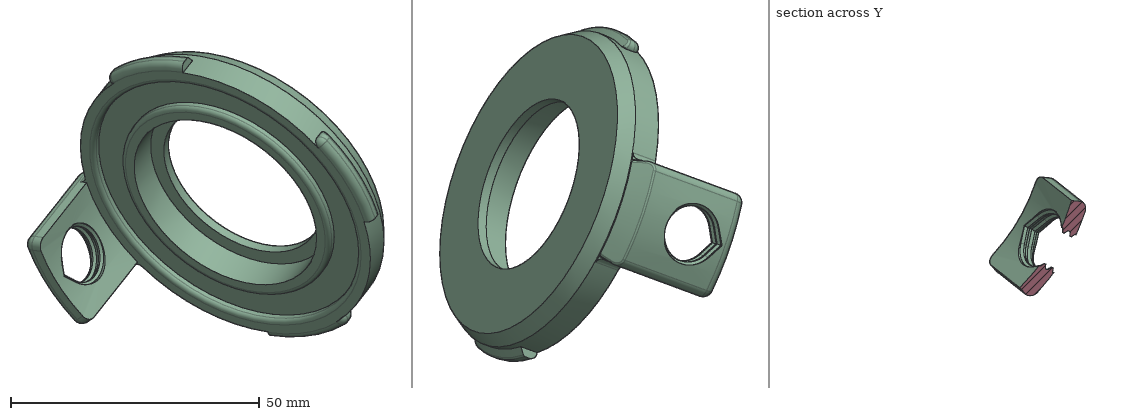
import cadquery as cq
import math


rim_radius = 33.45
ring_depth = 8.8
bevel_width = 1.8
bevel_length = 3.2
bevel_start = ring_depth - bevel_length
bore_radius = 18.0
seat_radius = 21.0
lip_thickness = 2.0

groove_inner_radius = 24.0
groove_outer_radius = 30.35
groove_depth = 2.0
groove_edge_round = 0.95

sector_start = 17.0
sector_span = 35.8
sector_pitch = 90.0
lug_sectors = (0, 1, 3)
tab_sector = 2
shoulder_round = 0.55

lug_radius = 35.2
lug_width = 4.0
lug_ramp_length = 1.1
lug_round = 1.6

tab_radius = 37.5
tab_length = 20.0
tab_ramp_start = 5.45
tab_ramp_length = 3.25
tab_round = 2.0
tab_root_round = 1.5

hole_center_y = -tab_length / 2
hole_root_radius = 6.3
rib_height = 0.55
hole_tip_ratio = 1.17
rib_pitch = 2.0
rib_crest_width = 0.5
rib_flank_width = 0.5
outer_rib_inset = 1.25
rib_count = 2
cutter_overshoot = 2.1


def on_circle(radius, angle, y):
    """Point at a given radius and angle about the ring axis."""
    turn = math.radians(angle)
    return cq.Vector(radius * math.cos(turn), y, radius * math.sin(turn))


def edges_near(points):
    """Selector for the edges whose midpoints lie closest to the given points."""
    selector = cq.selectors.NearestToPointSelector(points[0].toTuple())
    for point in points[1:]:
        selector = selector + cq.selectors.NearestToPointSelector(point.toTuple())
    return selector


def revolve_about_axis(outline, span):
    """Revolve an (r, y) outline from +X toward +Z."""
    return outline.revolve(span, (0, 0), (0, -1))


def turn_about_axis(body, angle):
    return body.rotate((0, 0, 0), (0, -1, 0), angle)


def turn_to_sector(body, sector):
    return turn_about_axis(body, sector_start + sector * sector_pitch)


def make_ring():
    seat_floor = ring_depth - lip_thickness
    outline = (
        cq.Workplane("XY")
        .moveTo(seat_radius, 0)
        .lineTo(groove_inner_radius - groove_edge_round, 0)
        .radiusArc((groove_inner_radius, groove_edge_round), -groove_edge_round)
        .lineTo(groove_inner_radius, groove_depth)
        .lineTo(groove_outer_radius, groove_depth)
        .lineTo(groove_outer_radius, groove_edge_round)
        .radiusArc((groove_outer_radius + groove_edge_round, 0), -groove_edge_round)
        .lineTo(rim_radius, 0)
        .lineTo(rim_radius, bevel_start)
        .lineTo(rim_radius - bevel_width, ring_depth)
        .lineTo(bore_radius, ring_depth)
        .lineTo(bore_radius, seat_floor)
        .lineTo(seat_radius, seat_floor)
        .close()
    )
    return revolve_about_axis(outline, 360)


def block_outline(outer_radius, front, ramp_start, ramp_length):
    """Outline (r, y) on the rim whose back is a ramp rising from the rim to outer_radius."""
    return (
        cq.Workplane("XY")
        .moveTo(rim_radius, front)
        .lineTo(outer_radius, front)
        .lineTo(outer_radius, ramp_start - ramp_length)
        .lineTo(rim_radius, ramp_start)
        .close()
    )


def make_block(outer_radius, front, ramp_start, ramp_length, rounded_ends, radius):
    """Sector block on the rim with a ramped back, rounded at its front and at the listed ends."""
    shoulder = ramp_start - ramp_length
    middle_y = (front + shoulder) / 2
    middle_radius = (rim_radius + outer_radius) / 2
    outline = block_outline(outer_radius, front, ramp_start, ramp_length)
    block = revolve_about_axis(outline, sector_span)
    rounded = [on_circle(outer_radius, sector_span / 2, front)]
    for end in rounded_ends:
        rounded.append(on_circle(outer_radius, end, middle_y))
        rounded.append(on_circle(middle_radius, end, front))
    block = block.edges(edges_near(rounded)).fillet(radius)
    shoulder_edge = on_circle(outer_radius, sector_span / 2, shoulder)
    return block.edges(edges_near([shoulder_edge])).fillet(shoulder_round)


def make_lug():
    return make_block(lug_radius, 0, lug_width, lug_ramp_length, [sector_span], lug_round)


def make_tab():
    ends = [0, sector_span]
    return make_block(tab_radius, -tab_length, tab_ramp_start, tab_ramp_length, ends, tab_round)


def teardrop(radius, distance):
    """Closed teardrop wire in a plane across the hole axis (local X), tip toward -Y."""
    tangent_y = -radius / hole_tip_ratio
    tangent_z = math.sqrt(radius**2 - tangent_y**2)
    return (
        cq.Workplane("YZ", origin=(distance, hole_center_y, 0))
        .moveTo(tangent_y, tangent_z)
        .threePointArc((radius, 0), (tangent_y, -tangent_z))
        .lineTo(-radius * hole_tip_ratio, 0)
        .close()
        .val()
    )


def make_hole():
    """Cutter for the ribbed hole, lying along +X."""
    crest_radius = hole_root_radius - rib_height
    half_crest = rib_crest_width / 2
    half_foot = half_crest + rib_flank_width
    sections = [teardrop(hole_root_radius, tab_radius + cutter_overshoot)]
    for index in range(rib_count):
        rib = tab_radius - outer_rib_inset - index * rib_pitch
        sections.append(teardrop(hole_root_radius, rib + half_foot))
        sections.append(teardrop(crest_radius, rib + half_crest))
        sections.append(teardrop(crest_radius, rib - half_crest))
        sections.append(teardrop(hole_root_radius, rib - half_foot))
    sections.append(teardrop(hole_root_radius, rim_radius - cutter_overshoot))
    return cq.Workplane(cq.Solid.makeLoft(sections, True))


def make_tab_root(end, side):
    """Concave blend between the rim and one tab end; side is the turning sense away from the tab."""
    center_radius = rim_radius + tab_root_round
    blend_angle = math.degrees(math.asin(tab_root_round / center_radius))
    side_tangent_radius = math.sqrt(center_radius**2 - tab_root_round**2)

    def plan_point(radius, angle):
        point = on_circle(radius, end + side * angle, 0)
        return point.x, point.z

    wedge = (
        cq.Workplane("XZ")
        .moveTo(*plan_point(side_tangent_radius, 0))
        .lineTo(*plan_point(rim_radius, 0))
        .lineTo(*plan_point(rim_radius, blend_angle))
        .radiusArc(plan_point(side_tangent_radius, 0), -side * tab_root_round)
        .close()
        .extrude(-tab_ramp_start)
    )
    envelope = block_outline(tab_radius, 0, tab_ramp_start, tab_ramp_length)
    return wedge.intersect(revolve_about_axis(envelope, 360))


result = make_ring()
for sector in lug_sectors:
    result = result.union(turn_to_sector(make_lug(), sector))
result = result.union(turn_to_sector(make_tab(), tab_sector))
for end, side in ((0, -1), (sector_span, 1)):
    result = result.union(turn_to_sector(make_tab_root(end, side), tab_sector))
hole = turn_about_axis(make_hole(), sector_span / 2)
result = result.cut(turn_to_sector(hole, tab_sector))